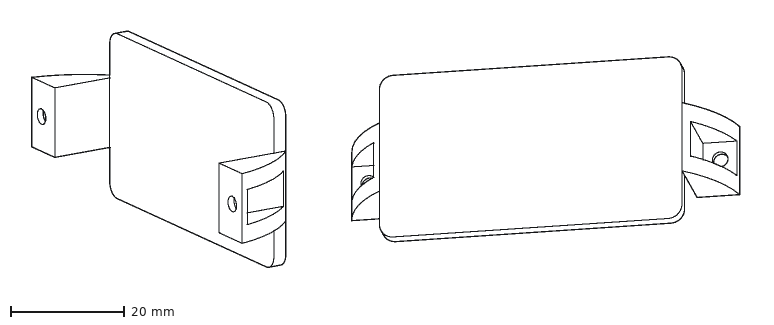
import cadquery as cq
import math

length = 69.85
depth = 14.0
height = 30.45

plate_length = 54.5
plate_thickness = 2.5
corner_radius = 2.5

foot_height = 12.85
foot_curve_radius = 25.0

pocket_height = 6.5
pocket_wall = 1.25

hole_diameter = 2.8
hole_inset = 3.3

outer_x = length / 2
inner_x = plate_length / 2
foot_width = outer_x - inner_x

chord = math.hypot(foot_width, depth)
center_offset = math.sqrt(foot_curve_radius**2 - (chord / 2) ** 2)
curve_center_x = (inner_x + outer_x) / 2 - center_offset * depth / chord
curve_center_y = depth / 2 - center_offset * foot_width / chord


def curve_x(y):
    """X of the foot's curved side at a given Y."""
    return curve_center_x + math.sqrt(foot_curve_radius**2 - (y - curve_center_y) ** 2)


def make_plate():
    return (
        cq.Workplane("XY")
        .box(plate_length, plate_thickness, height)
        .edges("|Y")
        .fillet(corner_radius)
        .translate((0, depth - plate_thickness / 2, 0))
    )


def make_foot():
    """Foot at the +X end, with its pocket and screw hole."""
    mid_y = depth / 2
    body = (
        cq.Workplane("XY")
        .moveTo(inner_x, 0)
        .lineTo(outer_x, 0)
        .threePointArc((curve_x(mid_y), mid_y), (inner_x, depth))
        .close()
        .extrude(foot_height / 2, both=True)
    )

    pocket_back_y = depth - pocket_wall
    floor_x = curve_x(pocket_back_y)
    pocket = cq.Workplane("XY").box(
        outer_x - floor_x, pocket_back_y - pocket_wall, pocket_height
    ).translate(((floor_x + outer_x) / 2, mid_y, 0))

    hole = (
        cq.Workplane("XZ")
        .center(outer_x - hole_inset, 0)
        .circle(hole_diameter / 2)
        .extrude(-depth)
    )
    return body.cut(pocket).cut(hole)


foot = make_foot()
result = make_plate().union(foot).union(foot.mirror("YZ"))